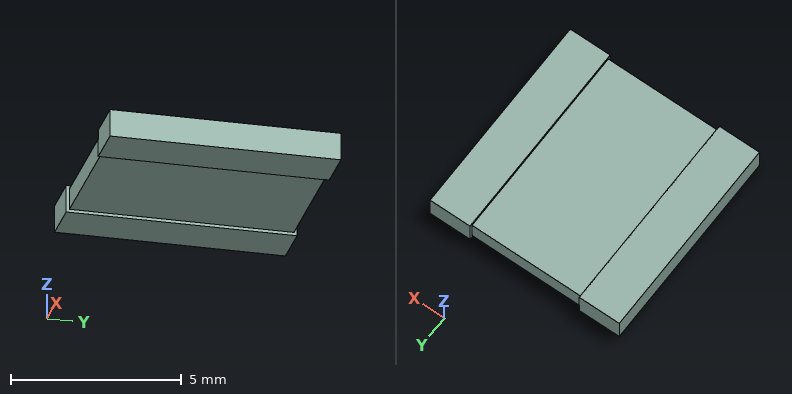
import cadquery as cq

length_x = 6.86
width_y = 6.96
height_z = 0.86

terminal_length = 1.455
terminal_step = 0.1

body_length = length_x - 2 * terminal_length
body_width = width_y - 2 * terminal_step
body_height = height_z - 2 * terminal_step
terminal_center_x = (length_x - terminal_length) / 2


def make_body():
    """Flat central block, centred on the origin."""
    return cq.Workplane("XY").box(body_length, body_width, body_height)


def make_terminal(center_x):
    """Plain end block that meets one end face of the body."""
    return (
        cq.Workplane("XY")
        .box(terminal_length, width_y, height_z)
        .translate((center_x, 0, 0))
    )


body = make_body()
terminals = [make_terminal(side * terminal_center_x) for side in (-1, 1)]

result = cq.Compound.makeCompound([body.val(), *[terminal.val() for terminal in terminals]])